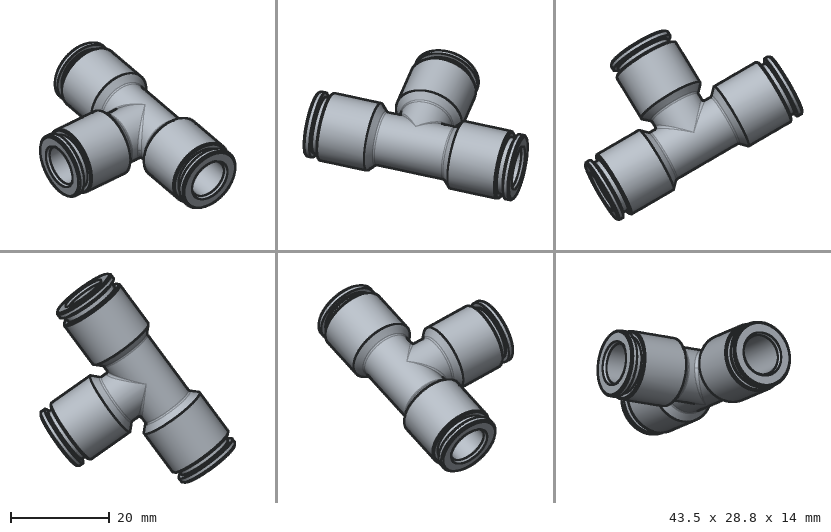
import cadquery as cq
import math

arm_reach = 21.75

collar_radius = 6.75
collar_thickness = 1.25
collar_chamfer = 0.3
neck_radius = 5.87
neck_tip_radius = 5.75
neck_tip_length = 0.15
neck_taper_length = 0.2

sleeve_radius = 7.0
sleeve_end = 18.95
sleeve_chamfer = 0.25
run_sleeve_start = 8.85
branch_sleeve_start = 9.0
pipe_radius = 5.5
shoulder_angle = math.radians(45)
shoulder_fillet = 0.52
crotch_fillet = 0.55

mouth_radius = 4.5
mouth_half_angle = math.radians(30)
socket_radius = 4.1
socket_depth = 12.85
socket_floor_half_angle = math.radians(59)
passage_radius = 2.95
branch_tip_half_angle = math.radians(68)
branch_wall = 0.4

run_directions = [cq.Vector(1, 0, 0), cq.Vector(-1, 0, 0)]
branch_direction = cq.Vector(0, -1, 0)

collar_back = arm_reach - collar_thickness
neck_tip_start = collar_back - neck_tip_length
neck_taper_start = neck_tip_start - neck_taper_length

mouth_taper_end = arm_reach - (mouth_radius - socket_radius) / math.tan(mouth_half_angle)
socket_floor_start = arm_reach - socket_depth
socket_floor_end = socket_floor_start - (socket_radius - passage_radius) / math.tan(socket_floor_half_angle)

branch_tip = passage_radius + branch_wall
branch_passage_end = branch_tip + passage_radius / math.tan(branch_tip_half_angle)


def arm_plane(direction):
    """Plane whose local X runs outward along an arm and local Y is the radius."""
    return cq.Workplane(cq.Plane(origin=(0, 0, 0), xDir=direction, normal=(0, 0, 1)))


def revolve_about_arm(profile):
    return profile.close().revolve(360, (0, 0, 0), (1, 0, 0))


def joining_pipe():
    """Run and branch pipes up to their shoulders, blended where they cross."""
    run = cq.Workplane("YZ").circle(pipe_radius).extrude(run_sleeve_start, both=True)
    branch = cq.Workplane("XZ").circle(pipe_radius).extrude(branch_sleeve_start)
    pipes = run.union(branch)
    crossing_edges = pipes.edges("%ELLIPSE").vals()
    return pipes.newObject([pipes.val().fillet(crotch_fillet, crossing_edges)])


def port(direction, sleeve_start):
    """Sleeve with its filleted tapered shoulder, the neck and the release collar."""
    shoulder_start = sleeve_start - (sleeve_radius - pipe_radius) / math.tan(shoulder_angle)
    fillet_start = shoulder_start - shoulder_fillet * math.tan(shoulder_angle / 2)

    def fillet_point(angle):
        along = fillet_start + shoulder_fillet * math.sin(angle)
        radius = pipe_radius + shoulder_fillet * (1 - math.cos(angle))
        return along, radius

    profile = (
        arm_plane(direction)
        .moveTo(fillet_start, 0)
        .lineTo(fillet_start, pipe_radius)
        .threePointArc(fillet_point(shoulder_angle / 2), fillet_point(shoulder_angle))
        .lineTo(sleeve_start, sleeve_radius)
        .lineTo(sleeve_end - sleeve_chamfer, sleeve_radius)
        .lineTo(sleeve_end, sleeve_radius - sleeve_chamfer)
        .lineTo(sleeve_end, neck_radius)
        .lineTo(neck_taper_start, neck_radius)
        .lineTo(neck_tip_start, neck_tip_radius)
        .lineTo(collar_back, neck_tip_radius)
        .lineTo(collar_back, collar_radius)
        .lineTo(arm_reach - collar_chamfer, collar_radius)
        .lineTo(arm_reach, collar_radius - collar_chamfer)
        .lineTo(arm_reach, 0)
    )
    return revolve_about_arm(profile)


def bore(direction, passage_end, tip):
    """Tapered mouth, tube socket with a conical floor, and the narrower passage.

    The passage narrows from passage_end to a point at tip; equal values leave it flat.
    """
    profile = (
        arm_plane(direction)
        .moveTo(arm_reach, 0)
        .lineTo(arm_reach, mouth_radius)
        .lineTo(mouth_taper_end, socket_radius)
        .lineTo(socket_floor_start, socket_radius)
        .lineTo(socket_floor_end, passage_radius)
        .lineTo(passage_end, passage_radius)
        .lineTo(tip, 0)
    )
    return revolve_about_arm(profile)


fitting = joining_pipe()

for run_direction in run_directions:
    fitting = fitting.union(port(run_direction, run_sleeve_start))
fitting = fitting.union(port(branch_direction, branch_sleeve_start))

for run_direction in run_directions:
    fitting = fitting.cut(bore(run_direction, 0, 0))
fitting = fitting.cut(bore(branch_direction, branch_passage_end, branch_tip))

result = fitting